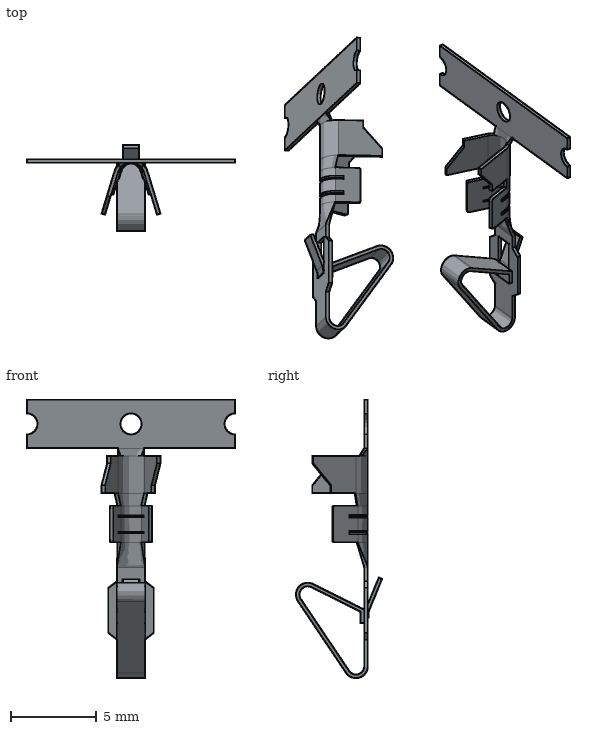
import cadquery as cq
import math

THICKNESS = 0.22
OVERALL_DEPTH = 5.07
OVERALL_HEIGHT = 16.35

STRIP_LENGTH = 12.22
STRIP_HEIGHT = 2.84
PILOT_DIAMETER = 1.22

STRIP_TOP = STRIP_HEIGHT / 2
STRIP_BOTTOM = -STRIP_HEIGHT / 2
INSULATION_TOP = -1.87
INSULATION_BOTTOM = -4.06
WIRE_TOP = -4.80
WIRE_BOTTOM = -6.95
PLATE_TOP = -8.42
TERMINAL_BOTTOM = STRIP_TOP - OVERALL_HEIGHT

LEG_FLARE = math.radians(17)
WRAP_ANGLE = math.pi / 2 - LEG_FLARE
INSULATION_RADIUS = 1.02
INSULATION_DEPTH = 3.27
WIRE_RADIUS = 0.845
WIRE_DEPTH = 2.10
WIRE_CORNER_RADIUS = 0.14

STEP_DEPTH = 2.21
STEP_FLAT = 0.45

SERRATION_HEIGHTS = (-5.42, -6.37)
SERRATION_DEPTH = 1.15
GROOVE_WIDTH = 0.20
RIB_WIDTH = 0.10
SERRATION_RELIEF = 0.05

STRIP_NECK_WIDTH = 1.55

BODY_WIDTH = 1.66
WING_WIDTH = 2.68
WING_TOP = -9.24
WING_BOTTOM = -12.66
WING_CHAMFER_HEIGHT = 0.39
BEND_RADIUS = 0.70
SPRING_DEPTH = 4.23
SPRING_TOP_BEND_Z = -10.02
SPRING_ARM_SLOPE = math.radians(26.6)
SPRING_TAB_BOTTOM = -11.69

WINDOW_WIDTH = 0.98
WINDOW_TOP = -9.12
WINDOW_BOTTOM = -11.20
LANCE_WIDTH = 0.95
LANCE_TIP_REACH = OVERALL_DEPTH - SPRING_DEPTH
LANCE_TIP_Z = -9.10
LANCE_KNEE_Z = -11.05
LANCE_FOOT_Z = -11.38
LANCE_BEND_RADIUS = 0.80
LANCE_OFFSET = 0.04


def polar(center, radius, angle):
    """Point at the given angle on a circle."""
    return (center[0] + radius * math.cos(angle), center[1] + radius * math.sin(angle))


def extrude_across(profile_workplane, width):
    """Solid centred on X = 0 from a profile drawn in the YZ plane."""
    return profile_workplane.extrude(width / 2, both=True)


def carrier_strip():
    """Flat strip with a central pilot hole and half holes at both ends."""
    strip = cq.Workplane("XY").box(STRIP_LENGTH, THICKNESS, STRIP_HEIGHT)
    holes = (
        cq.Workplane("XZ")
        .pushPoints([(-STRIP_LENGTH / 2, 0), (0, 0), (STRIP_LENGTH / 2, 0)])
        .circle(PILOT_DIAMETER / 2)
        .extrude(THICKNESS, both=True)
    )
    return strip.cut(holes).translate((0, -THICKNESS / 2, 0))


def arc_section(radius, half_angle, z):
    """Closed section of sheet curved about Z, its back touching Y = 0."""
    center = (0, -radius)
    inner = radius - THICKNESS
    middle = math.pi / 2
    start = middle + half_angle
    end = middle - half_angle
    return (
        cq.Workplane("XY", origin=(0, 0, z))
        .moveTo(*polar(center, radius, start))
        .threePointArc(polar(center, radius, middle), polar(center, radius, end))
        .lineTo(*polar(center, inner, end))
        .threePointArc(polar(center, inner, middle), polar(center, inner, start))
        .close()
        .val()
    )


def flat_section(width, z):
    """Closed section of flat sheet, its back in Y = 0."""
    half = width / 2
    return (
        cq.Workplane("XY", origin=(0, 0, z))
        .polyline([(-half, 0), (half, 0), (half, -THICKNESS), (-half, -THICKNESS)])
        .close()
        .val()
    )


def transition(upper_section, lower_section):
    """Ruled sheet between two sections."""
    return cq.Workplane(obj=cq.Solid.makeLoft([upper_section, lower_section], True))


def leg_length(radius, depth):
    """Length of a straight leg whose front corner lies at the given depth."""
    start_depth = radius * (1 - math.sin(LEG_FLARE))
    end_depth = depth - THICKNESS * math.sin(LEG_FLARE)
    return (end_depth - start_depth) / math.cos(LEG_FLARE)


def channel_section(radius, length, z, setback=0, thickness=THICKNESS):
    """Closed U section with flared straight legs; setback moves its outside inwards."""
    center = (0, -radius)
    outer = radius - setback
    inner = outer - thickness

    def leg_end(x, y):
        return (x + length * math.sin(LEG_FLARE), y - length * math.cos(LEG_FLARE))

    def mirrored(point):
        return (-point[0], point[1])

    outer_start = polar(center, outer, LEG_FLARE)
    inner_start = polar(center, inner, LEG_FLARE)
    outer_end = leg_end(*outer_start)
    inner_end = leg_end(*inner_start)
    return (
        cq.Workplane("XY", origin=(0, 0, z))
        .moveTo(*mirrored(outer_end))
        .lineTo(*mirrored(outer_start))
        .threePointArc((0, outer - radius), outer_start)
        .lineTo(*outer_end)
        .lineTo(*inner_end)
        .lineTo(*inner_start)
        .threePointArc((0, inner - radius), mirrored(inner_start))
        .lineTo(*mirrored(inner_end))
        .close()
        .val()
    )


def channel(radius, depth, top, bottom):
    """U channel of sheet whose legs reach forward to the given depth."""
    section = channel_section(radius, leg_length(radius, depth), bottom)
    return cq.Workplane(obj=cq.Solid.extrudeLinear(section, [], cq.Vector(0, 0, top - bottom)))


def serration_ridge(z, width, setback, edge_thickness):
    """Band round the wire barrel whose inner face rises to a ridge at Z."""
    length = leg_length(WIRE_RADIUS, SERRATION_DEPTH)
    crest_thickness = edge_thickness + SERRATION_RELIEF
    sections = [
        channel_section(WIRE_RADIUS, length, z - width / 2, setback, edge_thickness),
        channel_section(WIRE_RADIUS, length, z, setback, crest_thickness),
        channel_section(WIRE_RADIUS, length, z + width / 2, setback, edge_thickness),
    ]
    return cq.Workplane(obj=cq.Solid.makeLoft(sections, True))


def leg_step_cutter(side):
    """Prism square to one insulation leg that slopes off its front end."""
    length = leg_length(INSULATION_RADIUS, INSULATION_DEPTH)
    step = leg_length(INSULATION_RADIUS, STEP_DEPTH)
    middle = (INSULATION_TOP + INSULATION_BOTTOM) / 2
    half_height = (INSULATION_TOP - INSULATION_BOTTOM) / 2
    slope_end = half_height - STEP_FLAT
    clearance = THICKNESS
    start = polar((0, -INSULATION_RADIUS), INSULATION_RADIUS, LEG_FLARE)
    leg_plane = cq.Plane(
        origin=(side * start[0], start[1], middle),
        xDir=(side * math.sin(LEG_FLARE), -math.cos(LEG_FLARE), 0),
        normal=(-math.cos(LEG_FLARE), -side * math.sin(LEG_FLARE), 0),
    )
    outline = [
        (step, half_height + clearance),
        (step, slope_end),
        (length, -slope_end),
        (length + clearance, -slope_end),
        (length + clearance, half_height + clearance),
    ]
    points = [(along, -side * height) for along, height in outline]
    return cq.Workplane(leg_plane).polyline(points).close().extrude(2 * THICKNESS, both=True)


def insulation_barrel():
    """Open barrel with stepped legs that overlap when crimped."""
    barrel = channel(INSULATION_RADIUS, INSULATION_DEPTH, INSULATION_TOP, INSULATION_BOTTOM)
    for side in (-1, 1):
        barrel = barrel.cut(leg_step_cutter(side))
    return barrel


def wire_barrel():
    """Open barrel with rounded leg corners and serrations."""
    barrel = channel(WIRE_RADIUS, WIRE_DEPTH, WIRE_TOP, WIRE_BOTTOM)
    corner_box = cq.selectors.BoxSelector(
        (-WIRE_DEPTH, -WIRE_DEPTH, WIRE_BOTTOM - THICKNESS),
        (WIRE_DEPTH, THICKNESS - WIRE_DEPTH, WIRE_TOP + THICKNESS),
    )
    barrel = barrel.edges(corner_box).edges("not |Z").fillet(WIRE_CORNER_RADIUS)
    half_sheet = THICKNESS / 2
    for z in SERRATION_HEIGHTS:
        groove = serration_ridge(z, GROOVE_WIDTH, -SERRATION_RELIEF, SERRATION_RELIEF)
        rib = serration_ridge(z, RIB_WIDTH, half_sheet, half_sheet)
        barrel = barrel.cut(groove).union(rib)
    return barrel


def plate_and_spring():
    """Strip folded from the plate, round the bottom, and back in a hook."""
    low = (-BEND_RADIUS, TERMINAL_BOTTOM + BEND_RADIUS)
    high = (-(SPRING_DEPTH - BEND_RADIUS), SPRING_TOP_BEND_Z)
    inner_radius = BEND_RADIUS - THICKNESS
    rise_angle = math.atan2(high[1] - low[1], high[0] - low[0])
    rise_normal = rise_angle + math.pi / 2
    arm_normal = math.pi / 2 - SPRING_ARM_SLOPE
    low_middle = rise_normal / 2 + math.pi
    high_middle = (rise_normal + arm_normal) / 2

    def arm_point(radius, y):
        """Point of the spring arm above the given Y."""
        tangent_y, tangent_z = polar(high, radius, arm_normal)
        return (y, tangent_z - (y - tangent_y) * math.tan(SPRING_ARM_SLOPE))

    profile = (
        cq.Workplane("YZ")
        .moveTo(0, PLATE_TOP)
        .lineTo(0, low[1])
        .threePointArc(polar(low, BEND_RADIUS, low_middle), polar(low, BEND_RADIUS, rise_normal))
        .lineTo(*polar(high, BEND_RADIUS, rise_normal))
        .threePointArc(polar(high, BEND_RADIUS, high_middle), polar(high, BEND_RADIUS, arm_normal))
        .lineTo(*arm_point(BEND_RADIUS, -THICKNESS))
        .lineTo(-THICKNESS, SPRING_TAB_BOTTOM)
        .lineTo(-2 * THICKNESS, SPRING_TAB_BOTTOM)
        .lineTo(*arm_point(inner_radius, -2 * THICKNESS))
        .lineTo(*polar(high, inner_radius, arm_normal))
        .threePointArc(polar(high, inner_radius, high_middle), polar(high, inner_radius, rise_normal))
        .lineTo(*polar(low, inner_radius, rise_normal))
        .threePointArc(polar(low, inner_radius, low_middle), (-THICKNESS, low[1]))
        .lineTo(-THICKNESS, PLATE_TOP)
        .close()
    )
    return extrude_across(profile, BODY_WIDTH)


def wings():
    """Flat plate wider than the spring, with chamfered corners."""
    half_body = BODY_WIDTH / 2
    half_wing = WING_WIDTH / 2
    half_height = (WING_TOP - WING_BOTTOM) / 2
    half_edge = half_height - WING_CHAMFER_HEIGHT
    outline = [
        (-half_body, half_height),
        (half_body, half_height),
        (half_wing, half_edge),
        (half_wing, -half_edge),
        (half_body, -half_height),
        (-half_body, -half_height),
        (-half_wing, -half_edge),
        (-half_wing, half_edge),
    ]
    middle = (WING_TOP + WING_BOTTOM) / 2
    return cq.Workplane("XZ", origin=(0, 0, middle)).polyline(outline).close().extrude(THICKNESS)


def window_cutter():
    """Opening in the plate that the lance is bent out of."""
    height = WINDOW_TOP - WINDOW_BOTTOM
    middle = (WINDOW_TOP + WINDOW_BOTTOM) / 2
    return cq.Workplane("XY").box(WINDOW_WIDTH, THICKNESS, height).translate((0, -THICKNESS / 2, middle))


def lance():
    """Locking tongue bent out of the window towards the back."""
    lean = math.atan2(LANCE_TIP_REACH - LANCE_OFFSET, LANCE_TIP_Z - LANCE_KNEE_Z)
    across_y = THICKNESS * math.cos(lean)
    across_z = THICKNESS * math.sin(lean)
    front = LANCE_OFFSET - THICKNESS
    tip_front = (LANCE_TIP_REACH - across_y, LANCE_TIP_Z + across_z)
    knee_front_z = tip_front[1] - (tip_front[0] - front) / math.tan(lean)
    profile = (
        cq.Workplane("YZ")
        .moveTo(LANCE_OFFSET, LANCE_FOOT_Z)
        .lineTo(LANCE_OFFSET, LANCE_KNEE_Z)
        .lineTo(LANCE_TIP_REACH, LANCE_TIP_Z)
        .lineTo(*tip_front)
        .lineTo(front, knee_front_z)
        .lineTo(front, LANCE_FOOT_Z)
        .close()
    )
    tongue = extrude_across(profile, LANCE_WIDTH)
    back_knee = cq.selectors.NearestToPointSelector((0, LANCE_OFFSET, LANCE_KNEE_Z))
    tongue = tongue.edges("|X").edges(back_knee).fillet(LANCE_BEND_RADIUS)
    front_knee = cq.selectors.NearestToPointSelector((0, front, knee_front_z))
    return tongue.edges("|X").edges(front_knee).fillet(LANCE_BEND_RADIUS + THICKNESS)


strip_transition = transition(
    flat_section(STRIP_NECK_WIDTH, STRIP_BOTTOM),
    arc_section(INSULATION_RADIUS, math.asin(STRIP_NECK_WIDTH / 2 / INSULATION_RADIUS), INSULATION_TOP),
)
barrel_transition = transition(
    arc_section(INSULATION_RADIUS, WRAP_ANGLE, INSULATION_BOTTOM),
    arc_section(WIRE_RADIUS, WRAP_ANGLE, WIRE_TOP),
)
plate_transition = transition(
    arc_section(WIRE_RADIUS, WRAP_ANGLE, WIRE_BOTTOM),
    flat_section(BODY_WIDTH, PLATE_TOP),
)
contact = plate_and_spring().union(wings()).cut(window_cutter()).union(lance())

result = (
    carrier_strip()
    .union(strip_transition)
    .union(insulation_barrel())
    .union(barrel_transition)
    .union(wire_barrel())
    .union(plate_transition)
    .union(contact)
)